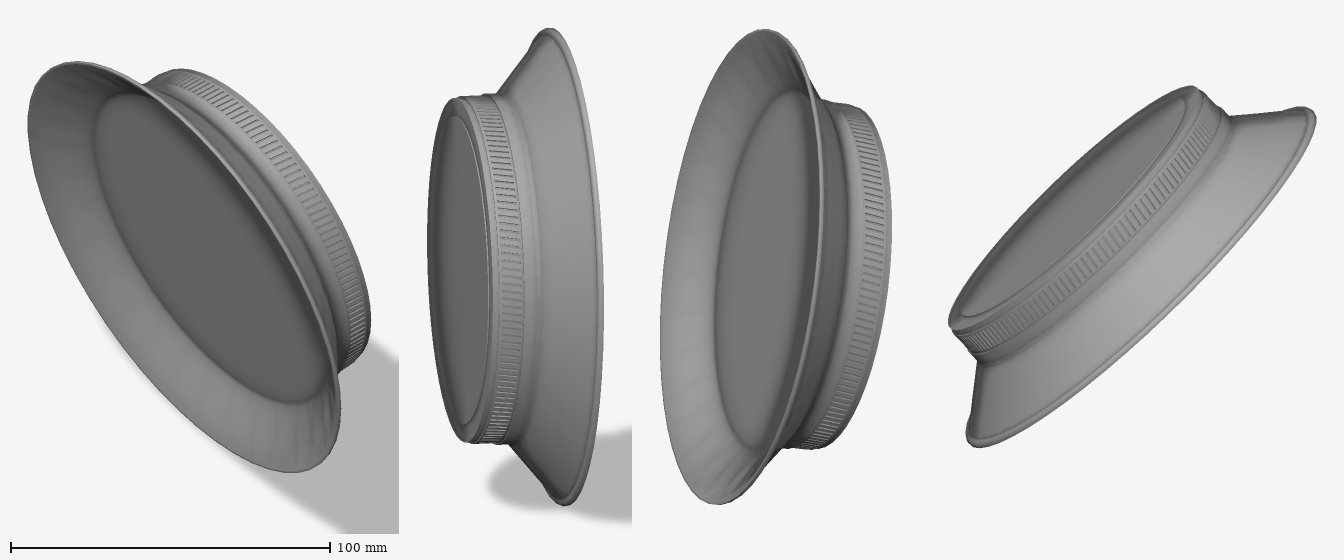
import cadquery as cq

overall_depth = 31.79

rim_radius = 75.0
rim_thickness = 1.85
rim_back_fillet = 1.4
rim_lip_width = 0.6
cone_outer_front_radius = 72.8
cone_back_y = 16.7
cone_to_collar_fillet = 1.7
panel_radius = 56.7
panel_y = 11.6
panel_fillet = 2.0

collar_radius = 110.14 / 2
vent_band_radius = 109.02 / 2
back_band_radius = 108.02 / 2
vent_band_front_y = 21.5
vent_band_back_y = 29.3
back_plate_radius = 48.3
back_plate_height = 0.4
housing_back_y = overall_depth - back_plate_height

edge_tolerance = 0.01

slot_count = 144
slot_width = 0.8
slot_margin = 0.8
slot_slant = 0.95
slot_depth = vent_band_radius - back_band_radius
slot_clearance = 1.0


def round_circle(body, radius, y, fillet_radius):
    """Fillet the circular edge that has the given radius and lies at the given y."""
    matching_edges = [
        edge
        for edge in body.edges("%CIRCLE").vals()
        if abs(edge.radius() - radius) < edge_tolerance and abs(edge.Center().y - y) < edge_tolerance
    ]
    return body.newObject(matching_edges).fillet(fillet_radius)


def make_body():
    """Revolve the half section (radius, y) about the Y axis and round its corners."""
    body = (
        cq.Workplane("XY")
        .moveTo(0, panel_y)
        .lineTo(panel_radius, panel_y)
        .lineTo(rim_radius - rim_lip_width, 0)
        .lineTo(rim_radius, 0)
        .lineTo(rim_radius, rim_thickness)
        .lineTo(cone_outer_front_radius, rim_thickness)
        .lineTo(collar_radius, cone_back_y)
        .lineTo(collar_radius, vent_band_front_y)
        .lineTo(vent_band_radius, vent_band_front_y)
        .lineTo(vent_band_radius, vent_band_back_y)
        .lineTo(back_band_radius, vent_band_back_y)
        .lineTo(back_band_radius, housing_back_y)
        .lineTo(back_plate_radius, housing_back_y)
        .lineTo(back_plate_radius, overall_depth)
        .lineTo(0, overall_depth)
        .close()
        .revolve(360, (0, 0, 0), (0, 1, 0))
    )
    body = round_circle(body, rim_radius, rim_thickness, rim_back_fillet)
    body = round_circle(body, collar_radius, cone_back_y, cone_to_collar_fillet)
    return round_circle(body, panel_radius, panel_y, panel_fillet)


def make_slot_cutters():
    """Slanted parallelogram prisms, one for each slot, spaced evenly about the Y axis."""
    front_y = vent_band_front_y + slot_margin
    back_y = vent_band_back_y - slot_margin
    half_width = slot_width / 2
    half_slant = slot_slant / 2
    cutter = (
        cq.Workplane("XY")
        .workplane(offset=vent_band_radius - slot_depth)
        .moveTo(-half_slant - half_width, front_y)
        .lineTo(-half_slant + half_width, front_y)
        .lineTo(half_slant + half_width, back_y)
        .lineTo(half_slant - half_width, back_y)
        .close()
        .extrude(slot_depth + slot_clearance)
        .val()
    )
    axis_start = cq.Vector(0, 0, 0)
    axis_end = cq.Vector(0, 1, 0)
    pitch_angle = 360 / slot_count
    cutters = [cutter.rotate(axis_start, axis_end, i * pitch_angle) for i in range(slot_count)]
    return cq.Workplane(cq.Compound.makeCompound(cutters))


result = make_body().cut(make_slot_cutters())